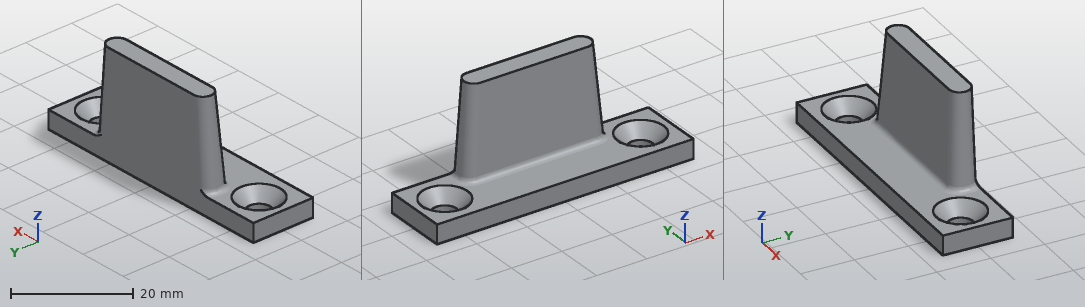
import cadquery as cq

plate_length = 51.0
plate_width = 13.0
plate_thickness = 3.7
total_height = 21.5

tab_top_length = 25.3
tab_top_depth = 4.05
end_draft = 1.45
front_draft = 0.95
end_flat_top = 0.005
foot_fillet = 1.0

hole_spacing = 38.95
hole_diameter = 4.5
countersink_diameter = 9.05
countersink_depth = 2.5

corner_radius = (tab_top_depth - end_flat_top) / 2


def make_plate(overhang):
    """Plate with its back edge extended by the given overhang."""
    return cq.Workplane("XY").box(
        plate_length, plate_width + overhang, plate_thickness, centered=(True, False, False)
    ).translate((0, -plate_width, 0))


def tab_section(length, depth, height):
    """Closed rounded rectangle whose back edge lies on Y = 0."""
    outline = cq.Sketch().push([(0, -depth / 2)]).rect(length, depth).reset()
    return outline.vertices().fillet(corner_radius).moved(cq.Location(cq.Vector(0, 0, height)))


def make_tab():
    foot = tab_section(tab_top_length + 2 * end_draft, tab_top_depth + front_draft, plate_thickness)
    top = tab_section(tab_top_length, tab_top_depth, total_height)
    return cq.Workplane("XY").placeSketch(foot, top).loft(ruled=True)


fillet_overhang = 3 * foot_fillet
body = make_plate(fillet_overhang).union(make_tab())
selection_margin = 0.05
foot_edges = cq.selectors.BoxSelector(
    (-hole_spacing / 2, -plate_width / 2, plate_thickness - selection_margin),
    (hole_spacing / 2, foot_fillet, plate_thickness + selection_margin),
)
body = body.edges(foot_edges).fillet(foot_fillet)
trim = cq.Workplane("XY").box(
    plate_length, fillet_overhang, total_height, centered=(True, False, False)
)
body = body.cut(trim)


def make_countersunk_hole(x):
    """Cutter for one through hole with a conical seat opening at the plate top."""
    cone = cq.Solid.makeCone(
        hole_diameter / 2,
        countersink_diameter / 2,
        countersink_depth,
        pnt=cq.Vector(0, 0, plate_thickness - countersink_depth),
    )
    drill = cq.Workplane("XY").circle(hole_diameter / 2).extrude(plate_thickness)
    return drill.union(cq.Workplane(cone)).translate((x, -plate_width / 2, 0))


for side in (-1, 1):
    body = body.cut(make_countersunk_hole(side * hole_spacing / 2))

result = body